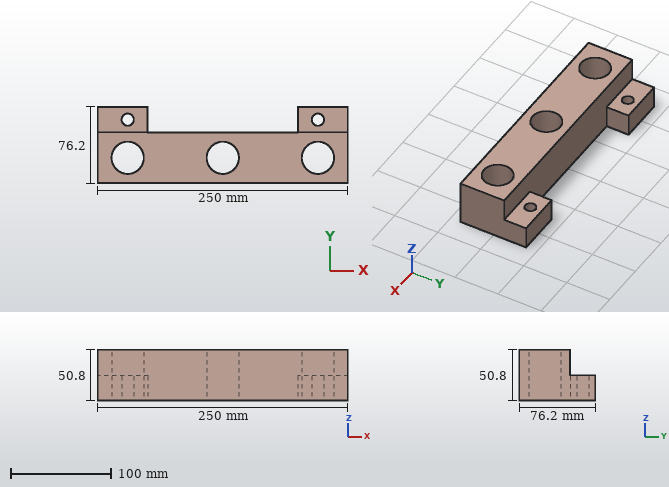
import cadquery as cq

bar_length = 250.0
bar_depth = 50.8
bar_height = 50.8

tab_width = 50.0
tab_depth = bar_depth / 2
tab_height = bar_height / 2

bore_diameter = 32.0
bolt_diameter = 12.0
hole_end_distance = 30.0
hole_offset = bar_length / 2 - hole_end_distance


def standing_box(length, depth, height, x_center, y_front):
    """Box standing on Z = 0, centred on x_center, with its front face at y_front."""
    return (
        cq.Workplane("XY")
        .box(length, depth, height, centered=(True, False, False))
        .translate((x_center, y_front, 0))
    )


def through_holes(diameter, points):
    """Vertical cylinders spanning the full height of the bar."""
    return cq.Workplane("XY").pushPoints(points).circle(diameter / 2).extrude(bar_height)


def make_body():
    body = standing_box(bar_length, bar_depth, bar_height, 0, 0)
    tab_offset = (bar_length - tab_width) / 2
    for side in (-1, 1):
        body = body.union(standing_box(tab_width, tab_depth, tab_height, side * tab_offset, bar_depth))
    return body


def make_bores():
    return through_holes(bore_diameter, [(x, bar_depth / 2) for x in (-hole_offset, 0, hole_offset)])


def make_bolt_holes():
    y_bolt = bar_depth + tab_depth / 2
    return through_holes(bolt_diameter, [(x, y_bolt) for x in (-hole_offset, hole_offset)])


result = make_body().cut(make_bores()).cut(make_bolt_holes())